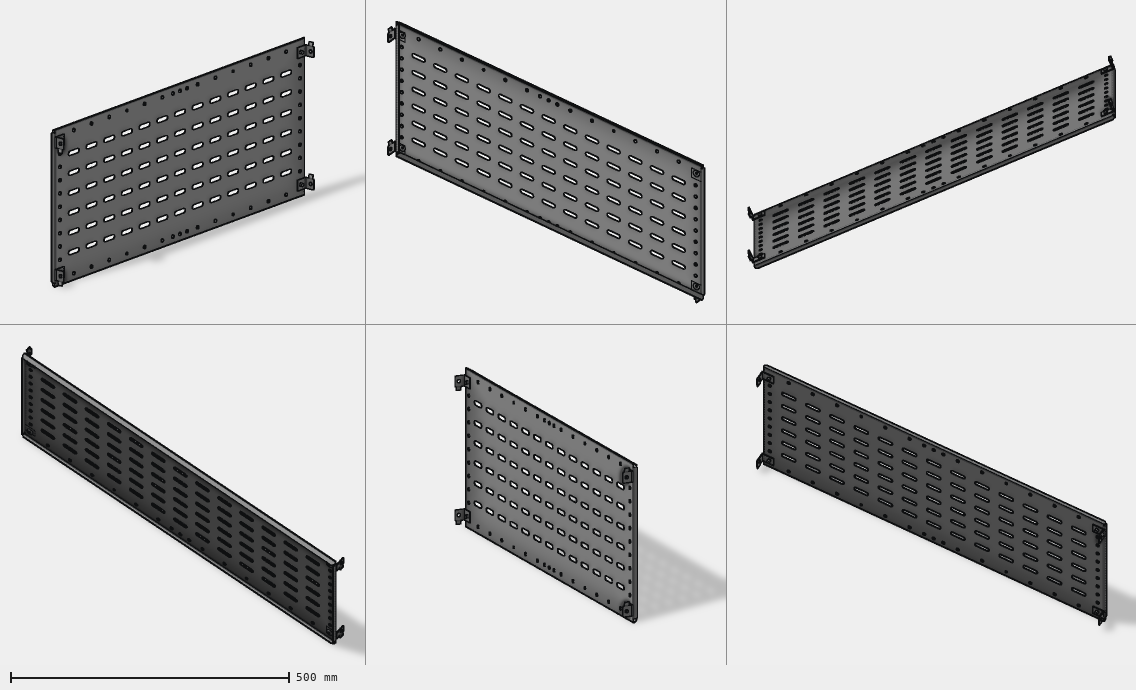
import cadquery as cq
import math

DEPTH = 30.5
LENGTH = 711.5
HEIGHT = 297.5

PANEL_LENGTH = 706.0
PANEL_THICKNESS = 1.8
PANEL_DEPTH = 11.0
BEND_RADIUS = 2.0
LIP_ANGLE = math.radians(30)
SIDE_WALL_HEIGHT = 283.0
WALL_CHAMFER = 2.0
LIP_CORNER = 4.0

SLOT_COLUMNS = 13
SLOT_ROWS = 6
SLOT_SPAN_Y = 600.0
SLOT_SPAN_Z = 187.0
SLOT_LENGTH = 30.0
SLOT_WIDTH = 8.5

HOLE_DIAMETER = 6.5
SMALL_HOLE_DIAMETER = 5.0
EDGE_ROW_SPAN_Z = 270.0
CENTRE_HOLE_OFFSET = 20.0
SIDE_ROW_SPAN_Y = 678.0
SIDE_HOLE_COUNT = 9
SIDE_HOLE_SPAN_Z = 200.0

BRACKET_SPAN_Z = 250.0
BRACKET_THICKNESS = 2.0
BRACKET_WIDTH = 20.5
BRACKET_CORNER = 2.0
BASE_LENGTH = 24.0
TAB_WIDTH = 9.0
TAB_HEIGHT = 7.0
TAB_LEAN = 1.5
TAB_X = 8.0
EYE_DIAMETER = 6.5

SHANK_DIAMETER = 6.5
SHANK_PROTRUSION = 3.5
HEAD_DIAMETER = 13.0
HEAD_HEIGHT = 3.0
HEAD_EDGE = 1.5
SOCKET_WIDTH = 3.5
SOCKET_DEPTH = 1.5

FRONT = -DEPTH / 2
REAR = DEPTH / 2
SHEET_REAR = FRONT + PANEL_DEPTH
SHEET_FRONT = SHEET_REAR - PANEL_THICKNESS
BASE_REAR = SHEET_REAR + BRACKET_THICKNESS
SLOT_PITCH_Y = SLOT_SPAN_Y / (SLOT_COLUMNS - 1)
SLOT_PITCH_Z = SLOT_SPAN_Z / (SLOT_ROWS - 1)
PLATE_OUTER = LENGTH / 2 - TAB_LEAN
CUT_CLEARANCE = PANEL_THICKNESS
CUT_DEPTH = PANEL_THICKNESS + 2 * CUT_CLEARANCE


def along_y(upper_half, length):
    """Prism along Y, centred, of an XZ outline given by its upper half and mirrored about Z = 0."""
    lower_half = [(x, -z) for x, z in reversed(upper_half)]
    return cq.Workplane("XZ").polyline(upper_half + lower_half).close().extrude(length / 2, both=True)


def sheet_workplane():
    """Start plane of the cutters that pass along X through the back sheet."""
    return cq.Workplane("YZ", origin=(SHEET_FRONT - CUT_CLEARANCE, 0, 0))


def drill(points, diameter):
    """Round cutters through the back sheet."""
    return sheet_workplane().pushPoints(points).circle(diameter / 2).extrude(CUT_DEPTH)


def tray():
    """Back sheet with side walls on both ends and sloped lips along the top and bottom."""
    rear_z = HEIGHT / 2 - BEND_RADIUS + BEND_RADIUS * (1 + math.sin(LIP_ANGLE)) / math.cos(LIP_ANGLE)
    tip_z = rear_z - PANEL_DEPTH * math.tan(LIP_ANGLE)
    inner_tip_x = FRONT + PANEL_THICKNESS * math.sin(LIP_ANGLE)
    inner_tip_z = tip_z - PANEL_THICKNESS * math.cos(LIP_ANGLE)
    inner_rear_z = inner_tip_z + (SHEET_FRONT - inner_tip_x) * math.tan(LIP_ANGLE)

    outer_outline = [(SHEET_REAR, rear_z), (FRONT, tip_z), (inner_tip_x, inner_tip_z)]
    outer = along_y(outer_outline, PANEL_LENGTH).faces(">X").edges().fillet(BEND_RADIUS)

    inner_outline = [(SHEET_FRONT, inner_rear_z), (inner_tip_x, inner_tip_z)]
    cavity = along_y(inner_outline, PANEL_LENGTH - 2 * PANEL_THICKNESS)
    cavity = cavity.faces(">X").edges().fillet(BEND_RADIUS - PANEL_THICKNESS)

    below_lips = along_y(inner_outline, PANEL_LENGTH)
    wall_zone = (
        cq.Workplane("XY", origin=(inner_tip_x, 0, 0))
        .box(DEPTH, LENGTH, SIDE_WALL_HEIGHT, centered=(False, True, True))
        .edges("<X and |Y").chamfer(WALL_CHAMFER)
    )
    body = outer.cut(cavity).cut(below_lips.cut(wall_zone))
    return body.cut(lip_corners())


def lip_corners():
    """Triangular prisms that clip the free corners of both lips, clear of the side walls."""
    end = PANEL_LENGTH / 2
    triangle = [(FRONT, end), (FRONT + LIP_CORNER, end), (FRONT, end - LIP_CORNER)]
    prism = (
        cq.Workplane("XY", origin=(0, 0, SIDE_WALL_HEIGHT / 2))
        .polyline(triangle).close()
        .extrude(HEIGHT / 2)
    )
    pair = prism.union(prism.mirror("XZ"))
    return pair.union(pair.mirror("XY"))


def slots():
    """Grid of slot cutters through the back sheet."""
    return (
        sheet_workplane()
        .rarray(SLOT_PITCH_Y, SLOT_PITCH_Z, SLOT_COLUMNS, SLOT_ROWS)
        .slot2D(SLOT_LENGTH, SLOT_WIDTH)
        .extrude(CUT_DEPTH)
    )


def panel():
    """Tray with its slots, edge holes and screw holes."""
    edge_z = EDGE_ROW_SPAN_Z / 2
    half_columns = SLOT_COLUMNS // 2
    small_column = half_columns // 2
    columns = range(-half_columns, half_columns + 1)
    row_y = [i * SLOT_PITCH_Y for i in columns if abs(i) != small_column]
    row_y += [-CENTRE_HOLE_OFFSET, CENTRE_HOLE_OFFSET]
    small_y = [-small_column * SLOT_PITCH_Y, small_column * SLOT_PITCH_Y]

    side_pitch = SIDE_HOLE_SPAN_Z / (SIDE_HOLE_COUNT - 1)
    side_z = [i * side_pitch - SIDE_HOLE_SPAN_Z / 2 for i in range(SIDE_HOLE_COUNT)]
    side_y = SIDE_ROW_SPAN_Y / 2

    large = [(y, z) for y in row_y for z in (-edge_z, edge_z)]
    large += [(y, z) for y in (-side_y, side_y) for z in side_z]
    small = [(y, z) for y in small_y for z in (-edge_z, edge_z)]
    screw_points = [(y, z) for y, z, _ in corner_places()]

    body = tray().cut(slots()).cut(drill(large, HOLE_DIAMETER))
    return body.cut(drill(small, SMALL_HOLE_DIAMETER)).cut(drill(screw_points, SHANK_DIAMETER))


def corner_places():
    """Screw position (y, z) at each corner, and the turn about X of its bracket."""
    y = SIDE_ROW_SPAN_Y / 2
    z = BRACKET_SPAN_Z / 2
    return [(-y, -z, 0), (-y, z, 0), (y, -z, 180), (y, z, 180)]


def tab():
    """Tab below the plate, leaning outward."""
    root = -BRACKET_WIDTH / 2
    tip = root - TAB_HEIGHT
    plate_inner = -PLATE_OUTER + BRACKET_THICKNESS
    outline = [
        (-PLATE_OUTER, 0),
        (-PLATE_OUTER, root),
        (-PLATE_OUTER - TAB_LEAN, tip),
        (plate_inner - TAB_LEAN, tip),
        (plate_inner, root),
        (plate_inner, 0),
    ]
    return (
        cq.Workplane("YZ", origin=(TAB_X, 0, 0))
        .polyline(outline).close()
        .extrude(TAB_WIDTH / 2, both=True)
    )


def bracket(z, turn):
    """Angle bracket on the -Y side at height z, turned about X to reach the +Y side."""
    outer_corner = cq.Workplane("XY", origin=(SHEET_REAR, -PLATE_OUTER, 0))
    from_corner = (False, False, True)
    base = outer_corner.box(BRACKET_THICKNESS, BASE_LENGTH, BRACKET_WIDTH, centered=from_corner)
    plate = outer_corner.box(REAR - SHEET_REAR, BRACKET_THICKNESS, BRACKET_WIDTH, centered=from_corner)
    plate = plate.edges(">X and |Y").fillet(BRACKET_CORNER)
    eye = (
        cq.Workplane("XZ", origin=(TAB_X, 0, 0))
        .circle(EYE_DIAMETER / 2)
        .extrude(LENGTH)
    )
    screw_hole = (
        cq.Workplane("YZ", origin=(SHEET_FRONT, -SIDE_ROW_SPAN_Y / 2, 0))
        .circle(SHANK_DIAMETER / 2)
        .extrude(DEPTH)
    )
    body = base.union(plate).union(tab()).cut(eye).cut(screw_hole)
    return body.rotate((0, 0, 0), (1, 0, 0), turn).translate((0, 0, z))


def screw(y, z):
    """Button-head screw with a hexagon socket, head on the -X side of the sheet."""
    head = (
        cq.Workplane("YZ", origin=(SHEET_FRONT - HEAD_HEIGHT, 0, 0))
        .circle(HEAD_DIAMETER / 2)
        .extrude(HEAD_HEIGHT)
        .faces("<X").edges().fillet(HEAD_EDGE)
    )
    shank = (
        cq.Workplane("YZ", origin=(SHEET_FRONT, 0, 0))
        .circle(SHANK_DIAMETER / 2)
        .extrude(BASE_REAR + SHANK_PROTRUSION - SHEET_FRONT)
    )
    socket = (
        cq.Workplane("YZ", origin=(SHEET_FRONT - HEAD_HEIGHT, 0, 0))
        .polygon(6, SOCKET_WIDTH, circumscribed=True)
        .extrude(SOCKET_DEPTH)
    )
    return head.union(shank).cut(socket).translate((0, y, z))


brackets = []
screws = []
for place_y, place_z, bracket_turn in corner_places():
    brackets.append(bracket(place_z, bracket_turn).solids().val())
    screws.append(screw(place_y, place_z).solids().val())

result = cq.Compound.makeCompound([panel().solids().val(), *brackets, *screws])